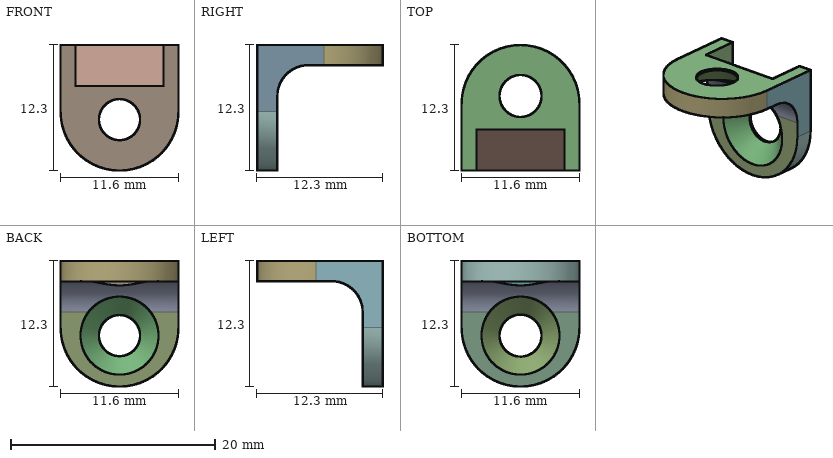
import cadquery as cq

leg_length = 12.32
width = 11.57
thickness = 2.0
inner_radius = 3.0
hole_distance = 7.32
top_hole_diameter = 4.09
front_hole_diameter = 4.0
hole_land = 0.2
head_diameter = 7.64
notch_width = 8.66
notch_leg = 4.03

end_radius = width / 2
head_radius = head_diameter / 2
end_distance = leg_length - end_radius


def rounded_leg_outline(plane):
    """Full-depth prism with a straight root at the corner and a semicircular end."""
    return (
        cq.Workplane(plane)
        .moveTo(-end_radius, 0)
        .lineTo(-end_radius, end_distance)
        .threePointArc((0, leg_length), (end_radius, end_distance))
        .lineTo(end_radius, 0)
        .close()
        .extrude(leg_length)
    )


def countersunk_hole(plane, diameter):
    """Short straight hole, then a cone to the inner face and head clearance through the inner fillet."""
    half_section = [
        (0, 0),
        (diameter / 2, 0),
        (diameter / 2, hole_land),
        (head_radius, thickness),
        (head_radius, thickness + inner_radius),
        (0, thickness + inner_radius),
    ]
    section_plane = cq.Plane(
        origin=plane.toWorldCoords((0, hole_distance, 0)),
        xDir=plane.xDir,
        normal=plane.xDir.cross(plane.zDir),
    )
    return cq.Workplane(section_plane).polyline(half_section).close().revolve(360, (0, 0), (0, 1))


top_plane = cq.Plane(origin=(0, 0, 0), xDir=(-1, 0, 0), normal=(0, 0, -1))
front_plane = cq.Plane(origin=(0, 0, 0), xDir=(1, 0, 0), normal=(0, 1, 0))

bracket = (
    cq.Workplane("YZ")
    .polyline([
        (0, 0),
        (leg_length, 0),
        (leg_length, -thickness),
        (thickness, -thickness),
        (thickness, -leg_length),
        (0, -leg_length),
    ])
    .close()
    .extrude(end_radius, both=True)
    .edges(cq.selectors.NearestToPointSelector((0, thickness, -thickness)))
    .fillet(inner_radius)
)

bracket = bracket.intersect(rounded_leg_outline(top_plane))
bracket = bracket.intersect(rounded_leg_outline(front_plane))

bracket = bracket.cut(countersunk_hole(top_plane, top_hole_diameter))
bracket = bracket.cut(countersunk_hole(front_plane, front_hole_diameter))

notch = (
    cq.Workplane("YZ")
    .polyline([(0, 0), (notch_leg, 0), (0, -notch_leg)])
    .close()
    .extrude(notch_width / 2, both=True)
)
result = bracket.cut(notch)